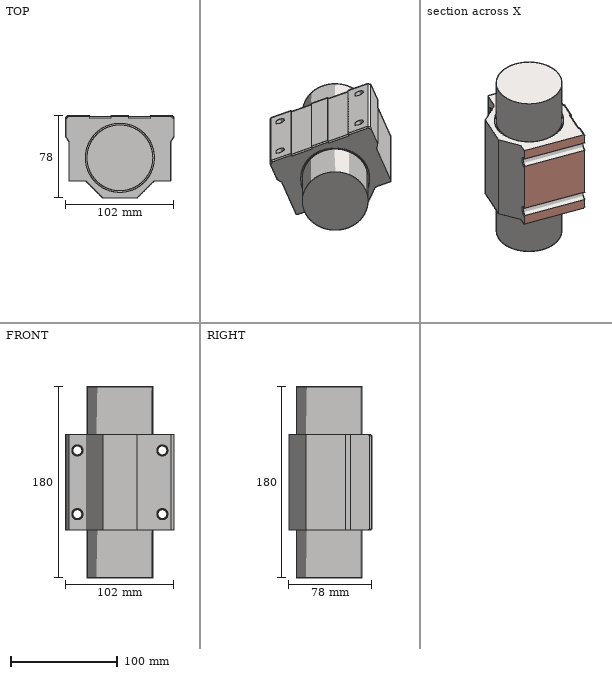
import cadquery as cq

shaft_length = 180.0
shaft_diameter = 62.0

housing_length = 90.0
base_width = 102.0
body_width = 96.1
crown_width = 32.0
base_y = 40.0
crown_y = -38.0
shelf_y = -22.0
flank_top_y = 20.0
flank_bottom_y = 15.1
base_corner_chamfer = 2.0
shelf_corner_fillet = 1.3
shelf_root_fillet = 0.9
base_end_chamfer = 1.3

groove_depth = 1.0
groove_inner_x = 8.3
groove_outer_x = 28.8

recess_diameter = 65.0
recess_depth = 1.5

hole_diameter = 8.5
countersink_diameter = 10.5
countersink_angle = 90
hole_spacing_x = 80.0
hole_spacing_z = 60.0


def make_housing():
    """Extrude the stepped cross-section, round the shelf edges and bevel the base ends."""
    half_base = base_width / 2
    half_body = body_width / 2
    half_crown = crown_width / 2
    crown_rise = shelf_y - crown_y
    shelf_root_x = half_crown + crown_rise
    right_side = [
        (half_crown, crown_y),
        (shelf_root_x, shelf_y),
        (half_body, shelf_y),
        (half_body, flank_bottom_y),
        (half_base, flank_top_y),
        (half_base, base_y - base_corner_chamfer),
        (half_base - base_corner_chamfer, base_y),
    ]
    left_side = [(-x, y) for x, y in reversed(right_side)]
    housing = (
        cq.Workplane("XY")
        .polyline(right_side + left_side)
        .close()
        .extrude(housing_length / 2, both=True)
    )
    for side in (-1, 1):
        corner = cq.selectors.NearestToPointSelector((side * half_body, shelf_y, 0))
        housing = housing.edges("|Z").edges(corner).fillet(shelf_corner_fillet)
        root = cq.selectors.NearestToPointSelector((side * shelf_root_x, shelf_y, 0))
        housing = housing.edges("|Z").edges(root).fillet(shelf_root_fillet)

    base_end_zone = cq.selectors.BoxSelector(
        (-base_width, base_y - base_corner_chamfer, -housing_length),
        (base_width, base_y + base_corner_chamfer, housing_length),
    )
    end_edges = housing.faces("<Z or >Z").edges(base_end_zone)
    return end_edges.chamfer(base_end_chamfer)


def make_groove(center_x):
    """Cutter for one groove whose floor has the same end bevels as the base."""
    floor_y = base_y - groove_depth
    half_length = housing_length / 2
    section = [
        (floor_y, half_length - base_end_chamfer),
        (floor_y - base_end_chamfer, half_length),
        (base_y, half_length),
        (base_y, -half_length),
        (floor_y - base_end_chamfer, -half_length),
        (floor_y, -half_length + base_end_chamfer),
    ]
    groove_width = groove_outer_x - groove_inner_x
    return (
        cq.Workplane("YZ", origin=(center_x, 0, 0))
        .polyline(section)
        .close()
        .extrude(groove_width / 2, both=True)
    )


def cut_mounting_holes(body):
    """Drill four through holes countersunk at the shelves."""
    return (
        body.copyWorkplane(cq.Workplane("XZ", origin=(0, shelf_y, 0)))
        .rarray(hole_spacing_x, hole_spacing_z, 2, 2)
        .cskHole(hole_diameter, countersink_diameter, countersink_angle)
    )


housing = make_housing()

groove_center_x = (groove_inner_x + groove_outer_x) / 2
for side in (-1, 1):
    housing = housing.cut(make_groove(side * groove_center_x))

for end in (-1, 1):
    recess = (
        cq.Workplane("XY", origin=(0, 0, end * housing_length / 2))
        .circle(recess_diameter / 2)
        .extrude(-end * recess_depth)
    )
    housing = housing.cut(recess)

housing = cut_mounting_holes(housing)

shaft = cq.Workplane("XY").circle(shaft_diameter / 2).extrude(shaft_length / 2, both=True)
result = housing.union(shaft)